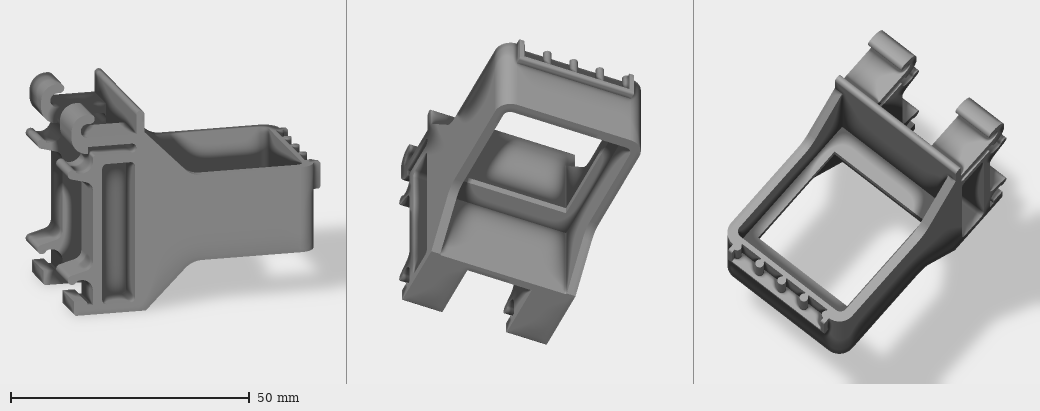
import cadquery as cq
import math

WIDTH = 32.9
WALL = 2.0
EDGE_RADIUS = 0.5

FOOT_WIDTH = 9.1
WEB_FRONT = 9.45
WEB_BACK = 11.25
BODY_HEIGHT = 38.7
MID_HEIGHT = BODY_HEIGHT / 2
LIP_TOP = 43.7

BOX_BACK = 48.8
BOX_HEIGHT = 18.55
BOX_TOP = MID_HEIGHT + BOX_HEIGHT / 2
BOX_BOTTOM = MID_HEIGHT - BOX_HEIGHT / 2
SHOULDER_RADIUS = 5.05
SHOULDER_OFFSET = 0.3
BOX_CORNER_RADIUS = 3.5

CAVITY_BACK = 46.45
CAVITY_FRONT_RADIUS = 0.3
PLATE_TOP = 20.05
PLATE_THICKNESS = 1.5
WINDOW_WIDTH = 24.2
WINDOW_FRONT = 16.55
WINDOW_LENGTH = 25.15

SLOT_WIDTH = WALL
ARM_BOTTOM = BODY_HEIGHT - WALL
SLOT_BOTTOM = ARM_BOTTOM - SLOT_WIDTH
HOOK_Y = -1.1
HOOK_INNER_RADIUS = 1.5
HOOK_OUTER_RADIUS = HOOK_INNER_RADIUS + WALL
HOOK_TIP_LENGTH = 0.5

FINGER_TIP_RADIUS = 1.0
FINGER_TIP_Y = -4.45
FINGER_TIP_OFFSET = 11.5
FINGER_SLOPE = math.radians(15)
FINGER_ROOT_RADIUS = 2.0
SEAT_RADIUS = 2.5
SEAT_OFFSET = 14.15

TOE_FRONT = -4.1
TOE_BACK = -1.25
TOE_TOP = 3.1

POCKET_FRONT = WALL
POCKET_BACK = 9.15
POCKET_TOP = SLOT_BOTTOM - WALL
POCKET_DEPTH = FOOT_WIDTH - WALL
POCKET_RADIUS = 1.0

HOLDER_WIDTH = 26.1
HOLDER_BACK = 50.4
HOLDER_HEIGHT = 6.0
HOLDER_CHEEK = 1.0
HOLDER_FLOOR = 1.0
RECESS_FRONT = 47.5
KNOB_COUNT = 5
KNOB_RADIUS = 0.9
KNOB_NECK = 0.9
KNOB_Y = 48.6


def block(x_size, y_range, z_range):
    """Box centred on X = 0 that spans the given Y and Z ranges."""
    y_size = y_range[1] - y_range[0]
    z_size = z_range[1] - z_range[0]
    return (
        cq.Workplane("XY")
        .box(x_size, y_size, z_size, centered=(True, False, False))
        .translate((0, y_range[0], z_range[0]))
    )


def extrude_across(outline):
    """Extrude a closed YZ outline over the full width."""
    return outline.extrude(WIDTH / 2, both=True)


def polar(center, radius, angle):
    """Point at an angle in the YZ plane, measured from +Y towards +Z."""
    return (center[0] + radius * math.cos(angle), center[1] + radius * math.sin(angle))


def make_body():
    """Side outline of the web, box and feet, with 45 degree shoulders between web and box."""
    slope_start_y = WEB_BACK + SHOULDER_OFFSET
    shoulder_y = slope_start_y + BOX_BOTTOM
    slot_round_y = WEB_FRONT - SLOT_WIDTH / 2
    outline = (
        cq.Workplane("YZ")
        .polyline([
            (TOE_FRONT, 0),
            (slope_start_y, 0),
            (shoulder_y, BOX_BOTTOM),
            (BOX_BACK, BOX_BOTTOM),
            (BOX_BACK, BOX_TOP),
            (shoulder_y, BOX_TOP),
            (WEB_BACK, BODY_HEIGHT + SHOULDER_OFFSET),
            (WEB_BACK, BODY_HEIGHT),
            (slot_round_y, BODY_HEIGHT),
            (slot_round_y, SLOT_BOTTOM),
            (0, SLOT_BOTTOM),
            (0, WALL),
            (TOE_BACK, WALL),
            (TOE_BACK, TOE_TOP),
            (TOE_FRONT, TOE_TOP),
        ])
        .close()
    )
    body = extrude_across(outline)
    rounded_edges = [
        (shoulder_y, BOX_BOTTOM, SHOULDER_RADIUS),
        (shoulder_y, BOX_TOP, SHOULDER_RADIUS),
        (0, SLOT_BOTTOM, EDGE_RADIUS),
        (TOE_BACK, TOE_TOP, EDGE_RADIUS),
        (TOE_FRONT, 0, EDGE_RADIUS),
    ]
    for y, z, radius in rounded_edges:
        body = body.edges(cq.selectors.NearestToPointSelector((0, y, z))).fillet(radius)

    slot_middle_z = (ARM_BOTTOM + SLOT_BOTTOM) / 2
    slot_round = cq.Workplane("YZ").center(slot_round_y, slot_middle_z).circle(SLOT_WIDTH / 2)
    body = body.cut(extrude_across(slot_round))
    return body.edges("|Z and >Y").fillet(BOX_CORNER_RADIUS)


def make_lip():
    """Upright lip on top of the web, rounded along its top edge."""
    radius = (WEB_BACK - WEB_FRONT) / 2
    outline = (
        cq.Workplane("YZ")
        .moveTo(WEB_FRONT, ARM_BOTTOM)
        .lineTo(WEB_BACK, ARM_BOTTOM)
        .lineTo(WEB_BACK, LIP_TOP - radius)
        .threePointArc((WEB_FRONT + radius, LIP_TOP), (WEB_FRONT, LIP_TOP - radius))
        .close()
    )
    return extrude_across(outline)


def make_hook():
    """Arm running forward from the web and curling up and back into a hook."""
    inner = HOOK_INNER_RADIUS
    outer = HOOK_OUTER_RADIUS
    upper_center = (HOOK_Y, BODY_HEIGHT + inner)
    lower_center = (HOOK_Y, BODY_HEIGHT)
    front_y = HOOK_Y - outer
    tip_y = HOOK_Y + HOOK_TIP_LENGTH
    tip_bottom = upper_center[1] + inner
    tip_top = upper_center[1] + outer
    outline = (
        cq.Workplane("YZ")
        .moveTo(WEB_BACK, ARM_BOTTOM)
        .lineTo(WEB_BACK, BODY_HEIGHT)
        .lineTo(HOOK_Y, BODY_HEIGHT)
        .threePointArc((HOOK_Y - inner, upper_center[1]), (HOOK_Y, tip_bottom))
        .lineTo(tip_y, tip_bottom)
        .threePointArc((tip_y + WALL / 2, (tip_bottom + tip_top) / 2), (tip_y, tip_top))
        .lineTo(HOOK_Y, tip_top)
        .threePointArc(polar(upper_center, outer, math.radians(135)), (front_y, upper_center[1]))
        .lineTo(front_y, BODY_HEIGHT)
        .threePointArc(polar(lower_center, outer, math.radians(225)), (HOOK_Y, BODY_HEIGHT - outer))
        .lineTo(HOOK_Y, ARM_BOTTOM)
        .close()
    )
    return extrude_across(outline)


def make_upper_finger():
    """Clip finger: concave seat above, round tip, sloping underside blended into the foot."""
    tip = (FINGER_TIP_Y, MID_HEIGHT + FINGER_TIP_OFFSET)
    seat = (-SEAT_RADIUS, MID_HEIGHT + SEAT_OFFSET)

    gap = math.dist(seat, tip)
    seat_to_tip = math.atan2(tip[1] - seat[1], tip[0] - seat[0])
    spread = math.acos((gap**2 + SEAT_RADIUS**2 - FINGER_TIP_RADIUS**2) / (2 * gap * SEAT_RADIUS))
    seat_end = polar(seat, SEAT_RADIUS, seat_to_tip + spread)

    normal = math.pi / 2 - FINGER_SLOPE
    tangent_reach = FINGER_ROOT_RADIUS + FINGER_TIP_RADIUS
    root_shift = (tip[0] + FINGER_ROOT_RADIUS) * math.cos(normal)
    root_z = tip[1] - (tangent_reach - root_shift) / math.sin(normal)
    root = (-FINGER_ROOT_RADIUS, root_z)

    tip_front = polar(tip, FINGER_TIP_RADIUS, math.pi)
    underside_end = polar(tip, FINGER_TIP_RADIUS, normal - math.pi)
    outline = (
        cq.Workplane("YZ")
        .moveTo(POCKET_FRONT, root_z)
        .lineTo(POCKET_FRONT, seat[1])
        .lineTo(0, seat[1])
        .threePointArc(polar(seat, SEAT_RADIUS, math.radians(-45)), seat_end)
        .threePointArc(tip_front, underside_end)
        .lineTo(*polar(root, FINGER_ROOT_RADIUS, normal))
        .threePointArc(polar(root, FINGER_ROOT_RADIUS, normal / 2), (0, root_z))
        .close()
    )
    finger = extrude_across(outline)
    tip_neck = cq.selectors.NearestToPointSelector((0, *seat_end))
    return finger.edges(tip_neck).fillet(EDGE_RADIUS)


def make_holder():
    """Recessed strip on the back of the box, with round-headed knobs standing in the recess."""
    bottom = BOX_TOP - HOLDER_HEIGHT
    floor = bottom + HOLDER_FLOOR
    pad = block(HOLDER_WIDTH, (CAVITY_BACK, HOLDER_BACK), (bottom, BOX_TOP))
    pad = pad.edges("|X and >Y").fillet(EDGE_RADIUS)
    recess_width = HOLDER_WIDTH - 2 * HOLDER_CHEEK
    recess = block(recess_width, (RECESS_FRONT, HOLDER_BACK), (floor, BOX_TOP))
    pitch = recess_width / (KNOB_COUNT - 1)
    head = cq.Workplane("XY").circle(KNOB_RADIUS).extrude(BOX_TOP - floor).translate((0, KNOB_Y, floor))
    knob = head.union(block(KNOB_NECK, (RECESS_FRONT, KNOB_Y), (floor, BOX_TOP)))
    knobs = [knob.translate((i * pitch - recess_width / 2, 0, 0)) for i in range(KNOB_COUNT)]
    return pad, recess, knobs


def make_cavity():
    """Full-height opening, narrowed to a window by the thin plate that crosses it."""
    cavity = block(WIDTH - 2 * WALL, (WEB_BACK, CAVITY_BACK), (0, LIP_TOP))
    cavity = cavity.edges("|Z and >Y").fillet(BOX_CORNER_RADIUS - WALL)
    cavity = cavity.edges("|Z and <Y").fillet(CAVITY_FRONT_RADIUS)
    plate = block(WIDTH, (WEB_FRONT, BOX_BACK), (PLATE_TOP - PLATE_THICKNESS, PLATE_TOP))
    window = block(WINDOW_WIDTH, (WINDOW_FRONT, WINDOW_FRONT + WINDOW_LENGTH), (0, LIP_TOP))
    return cavity.cut(plate).union(window)


def make_pocket():
    """Pocket in the -X side of the foot at -X."""
    pocket = block(POCKET_DEPTH, (POCKET_FRONT, POCKET_BACK), (WALL, POCKET_TOP))
    pocket = pocket.edges("|X").fillet(POCKET_RADIUS)
    return pocket.translate(((POCKET_DEPTH - WIDTH) / 2, 0, 0))


result = make_body().union(make_lip()).union(make_hook())

upper_finger = make_upper_finger()
lower_finger = upper_finger.mirror("XY", (0, 0, MID_HEIGHT))
result = result.union(upper_finger).union(lower_finger)

channel = block(WIDTH - 2 * FOOT_WIDTH, (FINGER_TIP_Y - WALL, WEB_FRONT), (0, LIP_TOP))
result = result.cut(channel)

pocket = make_pocket()
result = result.cut(pocket).cut(pocket.mirror("YZ"))

holder_pad, holder_recess, holder_knobs = make_holder()
result = result.union(holder_pad).cut(holder_recess)
for holder_knob in holder_knobs:
    result = result.union(holder_knob)

result = result.cut(make_cavity())